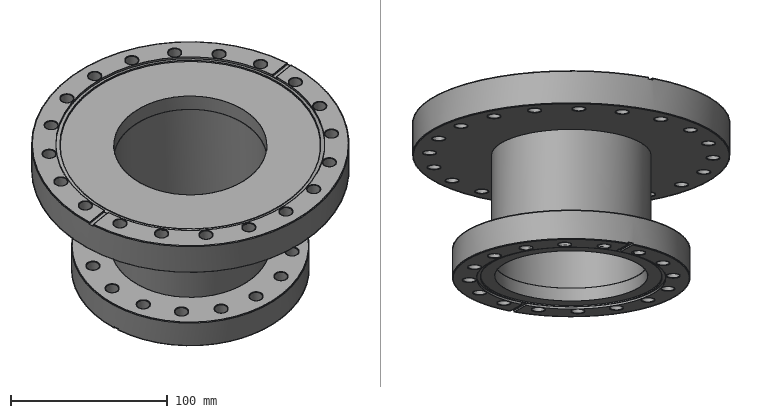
import cadquery as cq
import math

total_length = 105.0
twist = 9.75

tube_outer_diameter = 101.8
bore_diameter = 97.6
socket_depth = 9.7

upper_diameter = 202.4
upper_thickness = 22.3
upper_bolt_circle = 181.0
upper_bolt_count = 20
upper_recess_diameter = 171.4
upper_knife_diameter = 166.4

lower_diameter = 151.6
lower_thickness = 19.8
lower_bolt_circle = 130.2
lower_bolt_count = 16
lower_recess_diameter = 120.6
lower_knife_diameter = 116.0

bolt_hole_diameter = 8.4
bolt_hole_chamfer = 0.3
rim_chamfer = 0.5
recess_depth = 1.5
knife_height = 0.75
knife_inner_run = 0.3
leak_groove_width = 3.2
leak_groove_depth = 1.25


def flange_body(diameter, thickness, recess_diameter, knife_diameter):
    """Flange of revolution: back face at Z = 0, sealing face at Z = thickness."""
    radius = diameter / 2
    bore_radius = bore_diameter / 2
    socket_radius = tube_outer_diameter / 2
    recess_radius = recess_diameter / 2
    knife_radius = knife_diameter / 2
    floor = thickness - recess_depth
    profile = [
        (socket_radius, 0),
        (radius - rim_chamfer, 0),
        (radius, rim_chamfer),
        (radius, thickness - rim_chamfer),
        (radius - rim_chamfer, thickness),
        (recess_radius, thickness),
        (recess_radius, floor),
        (knife_radius, floor + knife_height),
        (knife_radius - knife_inner_run, floor),
        (bore_radius, floor),
        (bore_radius, socket_depth),
        (socket_radius, socket_depth),
    ]
    return cq.Workplane("XZ").polyline(profile).close().revolve(360, (0, 0, 0), (0, 1, 0))


def bolt_hole_cutter(thickness):
    """Through hole with a small chamfer at both faces, centred on the Z axis."""
    hole_radius = bolt_hole_diameter / 2
    mouth_radius = hole_radius + bolt_hole_chamfer
    profile = [
        (0, 0),
        (mouth_radius, 0),
        (hole_radius, bolt_hole_chamfer),
        (hole_radius, thickness - bolt_hole_chamfer),
        (mouth_radius, thickness),
        (0, thickness),
    ]
    return cq.Workplane("XZ").polyline(profile).close().revolve(360, (0, 0, 0), (0, 1, 0))


def cut_bolt_holes(flange, thickness, bolt_circle, bolt_count):
    """Ring of bolt holes, with a gap on the Y axis where the leak grooves run."""
    pitch = 360 / bolt_count
    cutter = bolt_hole_cutter(thickness)
    for index in range(bolt_count):
        angle = math.radians(90 + (index + 0.5) * pitch)
        x = bolt_circle / 2 * math.cos(angle)
        y = bolt_circle / 2 * math.sin(angle)
        flange = flange.cut(cutter.translate((x, y, 0)))
    return flange


def cut_leak_grooves(flange, diameter, thickness, recess_diameter):
    """Two opposite radial grooves along Y, from the gasket recess out through the rim."""
    recess_cylinder = cq.Workplane("XY").circle(recess_diameter / 2).extrude(thickness)
    grooves = (
        cq.Workplane("XY")
        .workplane(offset=thickness - leak_groove_depth)
        .rect(leak_groove_width, diameter)
        .extrude(leak_groove_depth)
        .cut(recess_cylinder)
    )
    return flange.cut(grooves)


def make_flange(diameter, thickness, bolt_circle, bolt_count, recess_diameter, knife_diameter):
    flange = flange_body(diameter, thickness, recess_diameter, knife_diameter)
    flange = cut_bolt_holes(flange, thickness, bolt_circle, bolt_count)
    return cut_leak_grooves(flange, diameter, thickness, recess_diameter)


def make_upper_flange():
    """Large flange, sealing face up."""
    flange = make_flange(
        upper_diameter, upper_thickness, upper_bolt_circle, upper_bolt_count,
        upper_recess_diameter, upper_knife_diameter,
    )
    flange = flange.rotate((0, 0, 0), (0, 0, 1), twist)
    return flange.translate((0, 0, total_length - upper_thickness))


def make_lower_flange():
    """Small flange, turned over so that its sealing face is down."""
    flange = make_flange(
        lower_diameter, lower_thickness, lower_bolt_circle, lower_bolt_count,
        lower_recess_diameter, lower_knife_diameter,
    )
    flange = flange.rotate((0, 0, 0), (1, 0, 0), 180)
    flange = flange.rotate((0, 0, 0), (0, 0, 1), twist)
    return flange.translate((0, 0, lower_thickness))


def make_tube():
    """Tube seated at each end in a flange socket."""
    tube_bottom = lower_thickness - socket_depth
    tube_top = total_length - upper_thickness + socket_depth
    return (
        cq.Workplane("XY")
        .workplane(offset=tube_bottom)
        .circle(tube_outer_diameter / 2)
        .circle(bore_diameter / 2)
        .extrude(tube_top - tube_bottom)
    )


upper_flange = make_upper_flange()
lower_flange = make_lower_flange()
tube = make_tube()

result = cq.Compound.makeCompound([upper_flange.val(), lower_flange.val(), tube.val()])